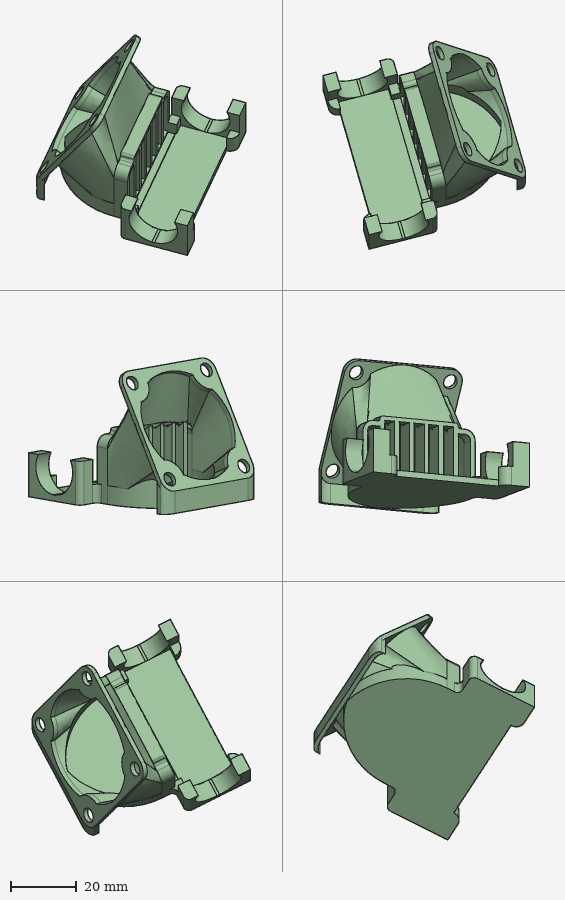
import cadquery as cq
import math


PLATE_SIZE = 40.0
PLATE_THICKNESS = 1.6
PLATE_TILT = math.radians(60)
PLATE_BOTTOM_Z = 6.95
PLATE_CORNER = 4.25
SCREW_SPACING = 32.05
SCREW_DIAMETER = 4.45

OPENING_RADIUS = 18.1
OPENING_HALF_WIDTH = 18.4
OPENING_TOP = 17.65
OPENING_BOTTOM = 18.2
PAD_RADIUS = 6.4
WALL = 1.6

FRAME_START_X = 25.7
FRAME_END_X = 30.1
FRAME_HALF_WIDTH = 19.1
FRAME_CORNER = 3.5
FRAME_INSET = 0.1
SHOULDER_Z = 20.8
FRAME_TOP_Z = 22.45
STEP_CENTER_Y = 13.3
WINDOW_HALF_WIDTH = FRAME_HALF_WIDTH - WALL
WINDOW_SHOULDER_Z = SHOULDER_Z - WALL
WINDOW_TOP_Z = 21.2
CEILING_SHOULDER_Z = 20.45
CEILING_TOP_Z = 21.45
WINDOW_STEP_Y = 11.9
WINDOW_CORNER = FRAME_CORNER - WALL

SLAT_PITCH = 5.0
INNER_SLAT_WIDTH = 1.5
OUTER_SLAT_WIDTH = 1.7
SLAT_START_X = 23.65
SLAT_TOP_Z = 22.45
SLAT_TOP_DROP = 0.3
SLAT_TOP_SLOPE = 1.5

FLOOR_Z = 1.9
BASE_TIP_X = 3.1
BASE_WALL_Z = 5.85
BASE_SLOPE_START_X = 18.25

CLIP_LENGTH_X = 22.0
CLIP_WIDTH = 5.65
CLIP_HEIGHT = 13.6
CLIP_CORNER = 1.85
CLIP_OUTER_Y = 26.6
TUBE_RADIUS = 7.9
TUBE_X = 41.1
SEAT_FLAT = 0.85
SEAT_FLAT_DEPTH = 0.05
DECK_END_X = 49.05
SILL_LENGTH = 2.45
SILL_Z = 1.4
PAD_HEIGHT = 5.85
PAD_LENGTH_X = 2.9
PAD_LENGTH_Y = 3.45
GUSSET_RADIUS = 1.9

COS_TILT = math.cos(PLATE_TILT)
SIN_TILT = math.sin(PLATE_TILT)
CLIP_INNER_Y = CLIP_OUTER_Y - CLIP_WIDTH
CLIP_END_X = FRAME_END_X + CLIP_LENGTH_X
THICKNESS_X = PLATE_THICKNESS * SIN_TILT
THICKNESS_Z = PLATE_THICKNESS * COS_TILT
PLATE_CENTER = (PLATE_SIZE / 2 * COS_TILT, 0, PLATE_BOTTOM_Z + PLATE_SIZE / 2 * SIN_TILT)
BACK_CENTER = (PLATE_CENTER[0] + THICKNESS_X, 0, PLATE_CENTER[2] - THICKNESS_Z)


def plate_plane(origin):
    """Plane parallel to the fan plate: local x along -Y, local y up the slope, normal out of the front."""
    return cq.Plane(origin=origin, xDir=(0, -1, 0), normal=(-SIN_TILT, 0, COS_TILT))


def cross_plane(x):
    """Plane across the duct at x, local x along -Y and local y along Z."""
    return cq.Plane(origin=(x, 0, 0), xDir=(0, -1, 0), normal=(-1, 0, 0))


def side_prism(points):
    """Prism of an XZ outline, wide enough in Y to span the part."""
    return cq.Workplane("XZ").polyline(points).close().extrude(CLIP_OUTER_Y, both=True)


def box(x0, x1, y0, y1, z0, z1):
    return cq.Workplane("XY").box(x1 - x0, y1 - y0, z1 - z0, centered=False).translate((x0, y0, z0))


def mirrored(body):
    return body.union(body.mirror("XZ"))


def opening_outline(plane, wall, top):
    """Fan opening grown by wall and reaching up to top: four wide arcs joined by four screw pad arcs."""
    radius = OPENING_RADIUS + wall
    pad = PAD_RADIUS - wall
    screw = SCREW_SPACING / 2
    diagonal = screw * math.sqrt(2)
    along = (radius**2 - pad**2 + diagonal**2) / (2 * diagonal)
    across = math.sqrt(radius**2 - along**2)
    far = (along + across) / math.sqrt(2)
    near = (along - across) / math.sqrt(2)
    pad_middle = screw - pad / math.sqrt(2)
    width = OPENING_HALF_WIDTH + wall
    bottom = OPENING_BOTTOM + wall
    return (
        cq.Workplane(plane)
        .moveTo(-near, far)
        .threePointArc((0, top), (near, far))
        .threePointArc((pad_middle, pad_middle), (far, near))
        .threePointArc((width, 0), (far, -near))
        .threePointArc((pad_middle, -pad_middle), (near, -far))
        .threePointArc((0, -bottom), (-near, -far))
        .threePointArc((-pad_middle, -pad_middle), (-far, -near))
        .threePointArc((-width, 0), (-far, near))
        .threePointArc((-pad_middle, pad_middle), (-near, far))
        .close()
    )


def outlet_outline(half_width, bottom_z, shoulder_z, top_z, corner):
    """Outlet end of the duct: arched top, round upper corners and small lower corner bevels."""
    flat = half_width - corner
    diagonal = corner * (1 - math.sqrt(0.5))
    bevel = 0.55
    return (
        cq.Workplane(cross_plane(FRAME_START_X))
        .moveTo(-flat, shoulder_z)
        .threePointArc((0, top_z), (flat, shoulder_z))
        .threePointArc((half_width - diagonal, shoulder_z - diagonal), (half_width, shoulder_z - corner))
        .lineTo(half_width, bottom_z + bevel)
        .lineTo(half_width - bevel, bottom_z)
        .lineTo(bevel - half_width, bottom_z)
        .lineTo(-half_width, bottom_z + bevel)
        .lineTo(-half_width, shoulder_z - corner)
        .threePointArc((diagonal - half_width, shoulder_z - diagonal), (-flat, shoulder_z))
        .close()
    )


def taper(opening, outlet):
    return cq.Workplane(cq.Solid.makeLoft([opening.val(), outlet.val()], True))


def base_prism(wall, bottom_z):
    """Pointed floor plan, two arcs running tangent into the frame sides, grown by wall and cut below the taper."""
    rise = WINDOW_HALF_WIDTH
    run = FRAME_START_X - BASE_TIP_X
    radius = (run**2 + rise**2) / (2 * rise)
    height = PLATE_CENTER[2] - bottom_z

    def disk(side):
        plane = cq.Workplane("XY", origin=(FRAME_START_X, side * (radius - rise), bottom_z))
        return plane.circle(radius + wall).extrude(height)

    plan = disk(-1).intersect(disk(1))
    slope_x = BACK_CENTER[0] - OPENING_RADIUS / 2 * COS_TILT
    slope_z = BACK_CENTER[2] - OPENING_RADIUS / 2 * SIN_TILT
    wall_z = BASE_WALL_Z + WALL - wall
    foot_x = BACK_CENTER[0] - BACK_CENTER[2] / math.tan(PLATE_TILT)
    under = side_prism([
        (foot_x, 0),
        (slope_x, slope_z),
        (BASE_SLOPE_START_X, wall_z),
        (FRAME_START_X, wall_z),
        (FRAME_START_X, 0),
    ])
    return plan.intersect(under)


def skirt():
    """Lower rim of the plate carried straight down to the underside."""
    half = PLATE_SIZE / 2
    flat = half - PLATE_CORNER
    corner_x = PLATE_CORNER * COS_TILT
    end_x = corner_x + THICKNESS_X
    corner_z = PLATE_BOTTOM_Z + PLATE_CORNER * SIN_TILT
    outside = (
        cq.Workplane("XY")
        .moveTo(corner_x, half)
        .ellipseArc(corner_x, PLATE_CORNER, 90, 180, startAtCurrent=True)
        .lineTo(0, -flat)
        .ellipseArc(corner_x, PLATE_CORNER, 180, 270, startAtCurrent=True)
        .lineTo(end_x, -half)
        .lineTo(end_x, half)
        .close()
        .extrude(PLATE_CENTER[2])
    )
    inside = outside.translate((THICKNESS_X, 0, 0))
    under_plate = side_prism([
        (0, 0),
        (0, PLATE_BOTTOM_Z),
        (corner_x, corner_z),
        (end_x, corner_z - THICKNESS_Z),
        (end_x, 0),
    ])
    return outside.cut(inside).intersect(under_plate)


def fan_plate():
    """Tilted plate with its skirt and four screw holes."""
    outline = cq.Sketch().rect(PLATE_SIZE, PLATE_SIZE).vertices().fillet(PLATE_CORNER)
    plate = cq.Workplane(plate_plane(PLATE_CENTER)).placeSketch(outline).extrude(-PLATE_THICKNESS)
    screws = (
        cq.Workplane(plate_plane(PLATE_CENTER))
        .rect(SCREW_SPACING, SCREW_SPACING, forConstruction=True)
        .vertices()
        .circle(SCREW_DIAMETER / 2)
        .extrude(-PLATE_THICKNESS)
    )
    return plate.union(skirt()).cut(screws)


def frame():
    """Outlet frame: round shoulders and a raised middle reached through an S-shaped step."""
    step = (FRAME_TOP_Z - SHOULDER_Z) / 2
    bend = step * (1 - math.sqrt(0.5))
    low_y = STEP_CENTER_Y + step
    high_y = STEP_CENTER_Y - step
    half = (
        cq.Workplane(cross_plane(FRAME_END_X))
        .lineTo(FRAME_HALF_WIDTH, 0)
        .lineTo(FRAME_HALF_WIDTH, SHOULDER_Z - FRAME_CORNER)
        .radiusArc((FRAME_HALF_WIDTH - FRAME_CORNER, SHOULDER_Z), -FRAME_CORNER)
        .lineTo(low_y, SHOULDER_Z)
        .threePointArc((STEP_CENTER_Y + bend, SHOULDER_Z + bend), (STEP_CENTER_Y, SHOULDER_Z + step))
        .threePointArc((STEP_CENTER_Y - bend, FRAME_TOP_Z - bend), (high_y, FRAME_TOP_Z))
        .lineTo(0, FRAME_TOP_Z)
        .close()
        .extrude(FRAME_END_X - FRAME_START_X)
    )
    return mirrored(half)


def window():
    """Stepped passage through the outlet frame."""
    low = box(
        FRAME_START_X, FRAME_END_X, -WINDOW_HALF_WIDTH, WINDOW_HALF_WIDTH, FLOOR_Z, WINDOW_SHOULDER_Z
    ).edges("|X and >Z").fillet(WINDOW_CORNER)
    high = box(FRAME_START_X, FRAME_END_X, -WINDOW_STEP_Y, WINDOW_STEP_Y, FLOOR_Z, WINDOW_TOP_Z)
    return low.union(high)


def slats():
    """Upright slats through the outlet, each with a nose sloping up into the duct."""
    body = cq.Workplane("XY")
    for index in range(3):
        width = INNER_SLAT_WIDTH if index == 0 else OUTER_SLAT_WIDTH
        center = (index + 0.5) * SLAT_PITCH
        side = center - width / 2
        top_z = SLAT_TOP_Z - index * SLAT_TOP_DROP
        nose = (
            cq.Workplane("XZ", origin=(0, side, 0))
            .moveTo(SLAT_START_X, 0)
            .lineTo(SLAT_START_X, top_z)
            .lineTo(FRAME_START_X, top_z - SLAT_TOP_SLOPE)
            .lineTo(FRAME_START_X, 0)
            .close()
            .extrude(-width)
        )
        body = body.union(nose)
        body = body.union(box(FRAME_START_X, FRAME_END_X, side, side + width, 0, WINDOW_TOP_Z))
    return mirrored(body)


def clip():
    """Block with an open round seat for a tube along Y, outer end corner rounded."""
    block = box(FRAME_END_X, CLIP_END_X, CLIP_INNER_Y, CLIP_OUTER_Y, 0, CLIP_HEIGHT)
    block = block.edges("|Z and <X and >Y").fillet(CLIP_CORNER)
    tube = (
        cq.Workplane("XZ")
        .center(TUBE_X, FLOOR_Z + TUBE_RADIUS)
        .circle(TUBE_RADIUS)
        .extrude(CLIP_OUTER_Y, both=True)
    )
    flat_start_x = TUBE_X - SEAT_FLAT / 2
    flat_z = FLOOR_Z - SEAT_FLAT_DEPTH
    flat_bottom = box(
        flat_start_x, flat_start_x + SEAT_FLAT, CLIP_INNER_Y, CLIP_OUTER_Y, flat_z, CLIP_HEIGHT
    )
    return block.cut(tube).cut(flat_bottom)


def corner_blocks():
    """Low stiffening blocks beside one clip: square at the outlet, rounded at the free end."""
    inner_y = CLIP_INNER_Y - PAD_LENGTH_Y
    near = box(FRAME_END_X, FRAME_END_X + PAD_LENGTH_X, inner_y, CLIP_INNER_Y, 0, PAD_HEIGHT)
    far = box(DECK_END_X, CLIP_END_X, inner_y, CLIP_INNER_Y, 0, PAD_HEIGHT)
    far = far.edges("|Z and >X and <Y").fillet(PAD_LENGTH_X)
    gusset = (
        cq.Workplane("XY")
        .moveTo(FRAME_END_X, FRAME_HALF_WIDTH)
        .lineTo(FRAME_END_X, FRAME_HALF_WIDTH + GUSSET_RADIUS)
        .radiusArc((FRAME_END_X - GUSSET_RADIUS, FRAME_HALF_WIDTH), GUSSET_RADIUS)
        .close()
        .extrude(PAD_HEIGHT)
    )
    return near.union(far).union(gusset)


def deck():
    """Flat deck between the clips, with a lower sill next to the outlet."""
    sill_end_x = FRAME_END_X + SILL_LENGTH
    sill = box(FRAME_END_X, sill_end_x, -CLIP_INNER_Y, CLIP_INNER_Y, 0, SILL_Z)
    plate = box(sill_end_x, DECK_END_X, -CLIP_INNER_Y, CLIP_INNER_Y, 0, FLOOR_Z)
    return sill.union(plate)


outer_taper = taper(
    opening_outline(plate_plane(BACK_CENTER), WALL, PLATE_SIZE / 2),
    outlet_outline(FRAME_HALF_WIDTH - FRAME_INSET, FRAME_INSET, SHOULDER_Z, FRAME_TOP_Z, FRAME_CORNER),
)
inner_taper = taper(
    opening_outline(plate_plane(BACK_CENTER), 0, OPENING_TOP),
    outlet_outline(WINDOW_HALF_WIDTH, FLOOR_Z, CEILING_SHOULDER_Z, CEILING_TOP_Z, WINDOW_CORNER),
)
opening = opening_outline(plate_plane(PLATE_CENTER), 0, OPENING_TOP).extrude(-PLATE_THICKNESS)

shell = fan_plate().union(outer_taper).union(base_prism(WALL, 0)).union(frame())
passage = inner_taper.union(base_prism(0, FLOOR_Z)).union(window()).union(opening)
duct = shell.cut(passage).union(slats())
result = duct.union(deck()).union(mirrored(clip())).union(mirrored(corner_blocks()))